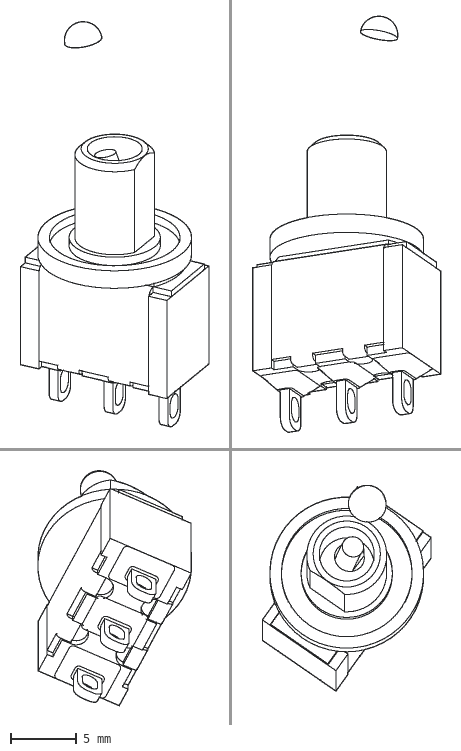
import cadquery as cq
import math


overall_height = 32.42
terminal_tip = -4.0

housing_length = 12.7
housing_width = 6.9
housing_height = 8.35

sheet = 0.5
frame_top = housing_height + sheet
frame_length = 9.53
frame_bottom = 0.68
frame_bend_radius = 0.78
strip_width = 5.38
core_width = housing_width - 2 * sheet

tab_width = 1.88
tab_offset = 2.2
tab_bottom = frame_bottom - sheet
tab_bend_radius = 0.4
tab_reach = 1.23
tab_end = housing_width / 2 - tab_reach

foot_radius = 5.55
foot_height = 0.5
foot_taper = 35.0

disc_bottom = frame_top + foot_height
disc_diameter = 11.8
disc_thickness = 1.5
disc_top = disc_bottom + disc_thickness
groove_outer_diameter = 10.02
groove_inner_diameter = 7.0
groove_depth = 0.7
bushing_diameter = 6.13
bushing_top = 18.38
bushing_chamfer = 0.5
bushing_flat = 2.6
bore_diameter = 4.2

lever_tilt = 11.7
pivot_height = 13.78
neck_base_diameter = 2.3
neck_tip_diameter = 1.65
neck_tip_distance = 4.1
neck_base_distance = math.sqrt((bore_diameter / 2) ** 2 - (neck_base_diameter / 2) ** 2)
cap_radius = 1.45
cap_height = overall_height + terminal_tip - cap_radius
cap_distance = (cap_height - pivot_height) / math.cos(math.radians(lever_tilt))

terminal_pitch = 4.75
terminal_positions = [-terminal_pitch, 0, terminal_pitch]
terminal_thickness = 0.78
terminal_width = 2.07
terminal_corner = 0.8
eye_width = 1.3
eye_length = 1.95
eye_center = -2.37
boss_length = 3.15
boss_width = 4.35
boss_height = 0.97
boss_taper = 44.0
boss_edge_radius = 0.5


def block(length, width, bottom, top):
    """Box centred on the Z axis between two heights."""
    box = cq.Workplane("XY").workplane(offset=bottom).rect(length, width)
    return box.extrude(top - bottom)


def cylinder(diameter, bottom, top):
    """Cylinder on the Z axis between two heights."""
    return cq.Workplane("XY").workplane(offset=bottom).circle(diameter / 2).extrude(top - bottom)


def lean(body):
    """Place a body built upright about the origin onto the leaning lever axis."""
    return body.rotate((0, 0, 0), (0, 1, 0), -lever_tilt).translate((0, 0, pivot_height))


def tab_slot(x, side):
    """Round-ended slot under the housing, open to the side the tab comes from."""
    slot = cq.Workplane("XY").center(x, side * tab_end).circle(tab_width / 2).extrude(frame_bottom)
    channel_length = housing_width / 2 - tab_end
    channel = cq.Workplane("XY").center(x, side * (tab_end + channel_length / 2))
    return slot.union(channel.rect(tab_width, channel_length).extrude(frame_bottom))


def frame_tab(x, side):
    """Tab that folds inwards from the foot of a frame wall."""
    tab_center = side * (housing_width / 2 + tab_end) / 2
    tab = block(tab_width, tab_reach, tab_bottom, frame_bottom).translate((x, tab_center, 0))
    outer_corner = "|X and <Z and >Y" if side > 0 else "|X and <Z and <Y"
    return tab.edges(outer_corner).fillet(tab_bend_radius)


def make_housing():
    body = block(housing_length, housing_width, 0, housing_height)
    middle = block(frame_length, housing_width, 0, housing_height)
    body = body.cut(middle.cut(block(frame_length, core_width, 0, housing_height)))
    for x in terminal_positions:
        boss = cq.Workplane("XY").rect(boss_length, boss_width).extrude(-boss_height, taper=boss_taper)
        boss = boss.edges("not #Z").fillet(boss_edge_radius)
        body = body.union(boss.translate((x, 0, 0)))
    for x in (-tab_offset, tab_offset):
        for side in (-1, 1):
            body = body.cut(tab_slot(x, side))
    return body


def make_foot():
    """Cone under the disc, narrowed by a sloping flat on each side."""
    base = cq.Workplane("XY").workplane(offset=frame_top)
    cone = base.circle(foot_radius).extrude(foot_height, taper=foot_taper)
    strip = base.rect(housing_length, strip_width).extrude(foot_height, taper=foot_taper)
    return cone.intersect(strip)


def make_frame():
    """Sheet frame with its tabs, grooved disc and bushing, all one piece."""
    body = block(frame_length, housing_width, frame_bottom, frame_top)
    body = body.edges("|X and >Z").fillet(frame_bend_radius)
    body = body.cut(block(frame_length, core_width, frame_bottom, housing_height))
    body = body.union(block(housing_length, strip_width, housing_height, frame_top))
    for x in (-tab_offset, tab_offset):
        for side in (-1, 1):
            body = body.union(frame_tab(x, side))
    body = body.union(make_foot())

    disc = cylinder(disc_diameter, disc_bottom, disc_top)
    groove = cylinder(groove_outer_diameter, disc_top - groove_depth, disc_top)
    disc = disc.cut(groove.cut(cylinder(groove_inner_diameter, disc_bottom, disc_top)))
    bushing = cylinder(bushing_diameter, disc_top, bushing_top)
    bushing = bushing.faces(">Z").edges().chamfer(bushing_chamfer)
    beyond_flat = block(bushing_diameter, bushing_diameter, disc_top, bushing_top)
    bushing = bushing.cut(beyond_flat.translate((bushing_flat + bushing_diameter / 2, 0, 0)))
    body = body.union(disc).union(bushing)

    body = body.cut(cylinder(bore_diameter, pivot_height, bushing_top))
    return body.cut(cq.Workplane("XY").sphere(bore_diameter / 2).translate((0, 0, pivot_height)))


def make_lever():
    """Ball cut flat on top, carrying a conical neck with a flat on each side."""
    ball = cq.Workplane("XY").sphere(bore_diameter / 2)
    ball = ball.cut(cylinder(bore_diameter, neck_base_distance, bore_diameter))
    neck = (
        cq.Workplane("XY")
        .workplane(offset=neck_base_distance)
        .circle(neck_base_diameter / 2)
        .workplane(offset=neck_tip_distance - neck_base_distance)
        .circle(neck_tip_diameter / 2)
        .loft()
    )
    flats = block(neck_base_diameter, neck_tip_diameter, neck_base_distance, neck_tip_distance)
    return lean(ball.union(neck.intersect(flats)))


def make_cap():
    """Half-ball tip on the lever axis."""
    ball = cq.Workplane("XY").sphere(cap_radius)
    dome = ball.intersect(cylinder(2 * cap_radius, 0, cap_radius))
    return lean(dome.translate((0, 0, cap_distance)))


def make_terminal(x):
    """Flat solder lug with rounded tip corners and an oblong eye."""
    lug = block(terminal_thickness, terminal_width, terminal_tip, -boss_height)
    lug = lug.edges("|X and <Z").fillet(terminal_corner)
    eye = cq.Workplane("YZ").center(0, eye_center).slot2D(eye_length, eye_width, 90)
    return lug.cut(eye.extrude(terminal_thickness, both=True)).translate((x, 0, 0))


housing = make_housing()
frame = make_frame()
lever = make_lever()
cap = make_cap()
terminals = [make_terminal(x).val() for x in terminal_positions]

result = cq.Compound.makeCompound([housing.val(), frame.val(), lever.val(), cap.val(), *terminals])